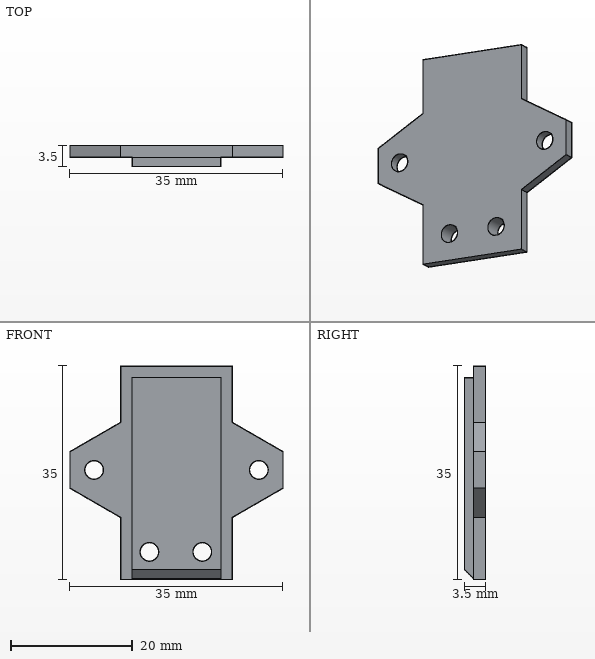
import cadquery as cq
import math

overall_width = 35.0
height = 35.0
plate_thickness = 2.0
pad_thickness = 1.5
hole_diameter = 3.0

plate_width = 18.35

ear_center_z = 0.5
ear_tip_height = 6.0
ear_slope_angle = 30.0
ear_hole_spacing = 27.02

pad_width = 14.55
pad_top_margin = 1.9
pad_bottom_margin = 0.18
pad_hole_spacing = 8.68
pad_hole_center_x = -0.1
pad_hole_z = -12.95


def make_plate():
    return cq.Workplane("XY").box(
        plate_width, plate_thickness, height
    ).translate((0, -plate_thickness / 2, 0))


def make_ears():
    """Both tapered ears as one hexagon that crosses the plate behind the pad."""
    tip_x = overall_width / 2
    root_x = plate_width / 2
    tip_z = ear_tip_height / 2
    root_z = tip_z + (tip_x - root_x) * math.tan(math.radians(ear_slope_angle))
    outline = [
        (-tip_x, -tip_z),
        (-root_x, -root_z),
        (root_x, -root_z),
        (tip_x, -tip_z),
        (tip_x, tip_z),
        (root_x, root_z),
        (-root_x, root_z),
        (-tip_x, tip_z),
    ]
    return (
        cq.Workplane("XZ")
        .center(0, ear_center_z)
        .polyline(outline)
        .close()
        .extrude(plate_thickness)
    )


def make_pad():
    """Pad with its lower edge bevelled at 45 degrees over its full thickness."""
    back_y = -plate_thickness
    front_y = back_y - pad_thickness
    top_z = height / 2 - pad_top_margin
    bottom_z = -height / 2 + pad_bottom_margin
    profile = [
        (back_y, bottom_z),
        (front_y, bottom_z + pad_thickness),
        (front_y, top_z),
        (back_y, top_z),
    ]
    return cq.Workplane("YZ").polyline(profile).close().extrude(pad_width / 2, both=True)


def make_holes():
    """Cutters for the ear holes and pad holes, which pass right through."""
    centers = []
    for side in (-1, 1):
        centers.append((side * ear_hole_spacing / 2, ear_center_z))
        centers.append((pad_hole_center_x + side * pad_hole_spacing / 2, pad_hole_z))
    return (
        cq.Workplane("XZ")
        .pushPoints(centers)
        .circle(hole_diameter / 2)
        .extrude(plate_thickness + pad_thickness)
    )


result = make_plate().union(make_ears()).union(make_pad()).cut(make_holes())